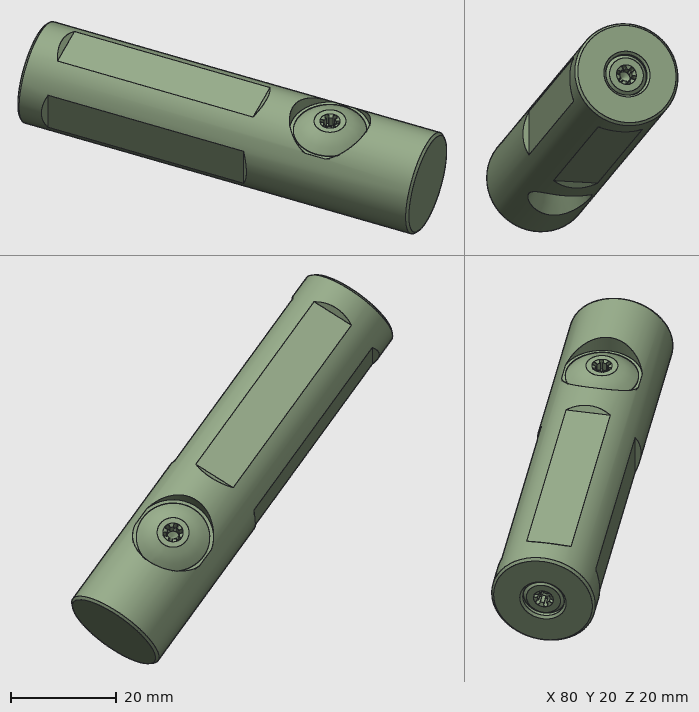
import cadquery as cq
import math

LENGTH = 80.0
BAR_RADIUS = 10.0
END_CHAMFER = 0.5

FLAT_START = 6.0
FLAT_LENGTH = 40.0
FLAT_DEPTH = 1.0
FLAT_COUNT = 4

THREAD_RADIUS = 4.0
SOCKET_RADIUS = 1.9
SOCKET_DEPTH = 2.4
SOCKET_MOUTH_DEPTH = 0.3
SOCKET_CORE_RADIUS = 1.2
SOCKET_TIP_LENGTH = 0.7
LOBE_RADIUS = 0.4
LOBE_COUNT = 6
LOBE_TURN = 15.0

CROSS_X = 60.0
DOME_RADIUS = 9.8
DOME_TOP = 9.3
HEAD_RADIUS = 7.0
COUNTERBORE_RADIUS = 7.7
COUNTERBORE_FLOOR = 6.7

RECESS_RADIUS = 7.1
RECESS_HALF_ANGLE = 28.0
RECESS_DEPTH = (RECESS_RADIUS - THREAD_RADIUS) / math.tan(math.radians(RECESS_HALF_ANGLE))
RECESS_TOP = RECESS_DEPTH - BAR_RADIUS

SET_SCREW_LENGTH = 12.0
SET_SCREW_SETBACK = 0.5
SET_SCREW_CHAMFER = 0.7
THREAD_MOUTH_CHAMFER = 0.5


def flat_cutter():
    """Material above one flat, on the +Z side; its ends slope outwards at 45 degrees."""
    overrun = 0.8
    bottom = BAR_RADIUS - FLAT_DEPTH
    spread = FLAT_DEPTH + overrun
    return (
        cq.Workplane("XZ")
        .moveTo(FLAT_START, bottom)
        .lineTo(FLAT_START + FLAT_LENGTH, bottom)
        .lineTo(FLAT_START + FLAT_LENGTH + spread, bottom + spread)
        .lineTo(FLAT_START - spread, bottom + spread)
        .close()
        .extrude(BAR_RADIUS, both=True)
    )


def cross_hole_cutter():
    """Counterbore, bore and bottom recess of the cross screw, turned about its axis."""
    return (
        cq.Workplane("XZ")
        .moveTo(0, -BAR_RADIUS)
        .lineTo(RECESS_RADIUS, -BAR_RADIUS)
        .lineTo(THREAD_RADIUS, RECESS_TOP)
        .lineTo(THREAD_RADIUS, COUNTERBORE_FLOOR)
        .lineTo(COUNTERBORE_RADIUS, COUNTERBORE_FLOOR)
        .lineTo(COUNTERBORE_RADIUS, BAR_RADIUS)
        .lineTo(0, BAR_RADIUS)
        .close()
        .revolve(360, (0, 0, 0), (0, 1, 0))
        .translate((CROSS_X, 0, 0))
    )


def end_hole_cutter():
    """Threaded end hole with a chamfered mouth, turned about the bar axis."""
    mouth_radius = THREAD_RADIUS + THREAD_MOUTH_CHAMFER
    depth = SET_SCREW_SETBACK + SET_SCREW_LENGTH
    return (
        cq.Workplane("XY")
        .polyline([
            (0, 0),
            (0, mouth_radius),
            (THREAD_MOUTH_CHAMFER, THREAD_RADIUS),
            (depth, THREAD_RADIUS),
            (depth, 0),
        ])
        .close()
        .revolve(360, (0, 0, 0), (1, 0, 0))
    )


def socket_cutter():
    """Six-lobe socket going down from a countersunk mouth at Z = 0 to a conical tip."""
    socket = (
        cq.Workplane("XZ")
        .lineTo(SOCKET_RADIUS, 0)
        .lineTo(SOCKET_CORE_RADIUS, -SOCKET_MOUTH_DEPTH)
        .lineTo(SOCKET_CORE_RADIUS, -SOCKET_DEPTH)
        .lineTo(0, -SOCKET_DEPTH - SOCKET_TIP_LENGTH)
        .close()
        .revolve(360, (0, 0, 0), (0, 1, 0))
    )
    lobes = (
        cq.Workplane("XY")
        .polarArray(SOCKET_RADIUS - LOBE_RADIUS, LOBE_TURN, 360, LOBE_COUNT)
        .circle(LOBE_RADIUS)
        .extrude(-SOCKET_DEPTH)
    )
    return socket.union(lobes)


def make_housing():
    bar = (
        cq.Workplane("YZ")
        .circle(BAR_RADIUS)
        .extrude(LENGTH)
        .faces("<X or >X")
        .chamfer(END_CHAMFER)
    )
    for index in range(FLAT_COUNT):
        turn = index * 360 / FLAT_COUNT
        bar = bar.cut(flat_cutter().rotate((0, 0, 0), (1, 0, 0), turn))
    return bar.cut(cross_hole_cutter()).cut(end_hole_cutter())


def make_cross_screw():
    """Screw with a flat-topped spherical head, its sphere centred on the bar axis."""
    top_radius = math.sqrt(DOME_RADIUS**2 - DOME_TOP**2)
    rim_height = math.sqrt(DOME_RADIUS**2 - HEAD_RADIUS**2)
    mid_angle = (math.atan2(DOME_TOP, top_radius) + math.atan2(rim_height, HEAD_RADIUS)) / 2
    dome_middle = (DOME_RADIUS * math.cos(mid_angle), DOME_RADIUS * math.sin(mid_angle))
    screw = (
        cq.Workplane("XZ")
        .moveTo(0, RECESS_TOP)
        .lineTo(THREAD_RADIUS, RECESS_TOP)
        .lineTo(THREAD_RADIUS, COUNTERBORE_FLOOR)
        .lineTo(HEAD_RADIUS, COUNTERBORE_FLOOR)
        .lineTo(HEAD_RADIUS, rim_height)
        .threePointArc(dome_middle, (top_radius, DOME_TOP))
        .lineTo(0, DOME_TOP)
        .close()
        .revolve(360, (0, 0, 0), (0, 1, 0))
        .cut(socket_cutter().translate((0, 0, DOME_TOP)))
    )
    return screw.translate((CROSS_X, 0, 0))


def make_set_screw():
    """Headless screw, built standing with its socket up and then laid into the end hole."""
    screw = (
        cq.Workplane("XY")
        .circle(THREAD_RADIUS)
        .extrude(-SET_SCREW_LENGTH)
        .faces(">Z")
        .chamfer(SET_SCREW_CHAMFER)
        .cut(socket_cutter())
    )
    return screw.rotate((0, 0, 0), (0, 1, 0), -90).translate((SET_SCREW_SETBACK, 0, 0))


housing = make_housing()
cross_screw = make_cross_screw()
set_screw = make_set_screw()

result = cq.Compound.makeCompound([housing.val(), cross_screw.val(), set_screw.val()])